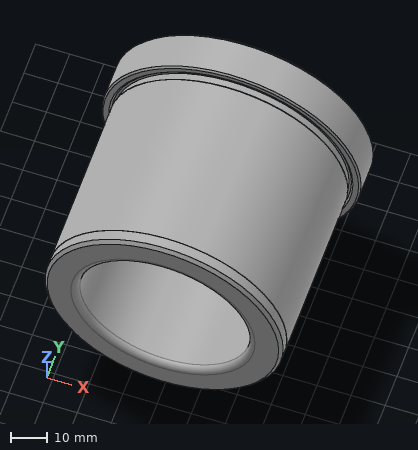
import cadquery as cq

flange_diameter = 76.0
body_diameter = 70.0
bore_diameter = 50.0
total_length = 70.0
flange_length = 12.0
back_chamfer = 1.0
shoulder_chamfer = 0.5
relief_width = 2.0
relief_depth = 0.5
relief_chamfer = 0.45
face_relief_diameter = 71.6
face_relief_depth = 0.5
face_relief_bevel = 0.6
lead_length = 4.0
lead_step = 0.1
nose_chamfer = 1.0
bore_round = 2.0

flange_radius = flange_diameter / 2
body_radius = body_diameter / 2
bore_radius = bore_diameter / 2
relief_radius = body_radius - relief_depth
face_relief_radius = face_relief_diameter / 2
lead_radius = body_radius - lead_step
nose_y = -total_length / 2
flange_y = total_length / 2 - flange_length
back_y = total_length / 2
relief_y = flange_y - relief_width


def make_outside():
    """Revolve the outer half-section about the Y axis."""
    profile = (
        cq.Workplane("XY")
        .moveTo(0, nose_y)
        .lineTo(lead_radius - nose_chamfer, nose_y)
        .lineTo(lead_radius, nose_y + nose_chamfer)
        .lineTo(lead_radius, nose_y + lead_length)
        .lineTo(body_radius, nose_y + lead_length)
        .lineTo(body_radius, relief_y)
        .lineTo(relief_radius, relief_y + relief_chamfer)
        .lineTo(relief_radius, flange_y + face_relief_depth)
        .lineTo(face_relief_radius - face_relief_bevel, flange_y + face_relief_depth)
        .lineTo(face_relief_radius, flange_y)
        .lineTo(flange_radius - shoulder_chamfer, flange_y)
        .lineTo(flange_radius, flange_y + shoulder_chamfer)
        .lineTo(flange_radius, back_y - back_chamfer)
        .lineTo(flange_radius - back_chamfer, back_y)
        .lineTo(0, back_y)
        .close()
    )
    return profile.revolve(360, (0, 0, 0), (0, 1, 0))


def make_bore():
    """Through bore whose mouths flare out with a convex round."""
    mouth_radius = bore_radius + bore_round
    profile = (
        cq.Workplane("XY")
        .moveTo(0, nose_y)
        .lineTo(mouth_radius, nose_y)
        .radiusArc((bore_radius, nose_y + bore_round), bore_round)
        .lineTo(bore_radius, back_y - bore_round)
        .radiusArc((mouth_radius, back_y), bore_round)
        .lineTo(0, back_y)
        .close()
    )
    return profile.revolve(360, (0, 0, 0), (0, 1, 0))


result = make_outside().cut(make_bore())